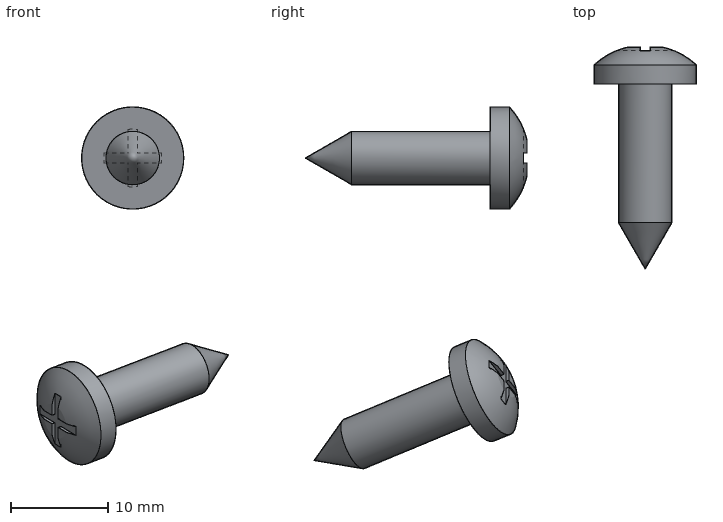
import cadquery as cq
import math

total_length = 22.8
head_diameter = 10.5
head_height = 3.8
dome_height = 1.82
crown_radius = 1.87
shank_diameter = 5.5
point_angle = 60.0
slot_width = 1.0
slot_depth = 0.36

head_radius = head_diameter / 2
shank_radius = shank_diameter / 2
point_length = shank_radius / math.tan(math.radians(point_angle / 2))

head_underside = total_length - head_height
dome_base = total_length - dome_height

dome_center = (
    (head_radius**2 + dome_base**2 - crown_radius**2 - total_length**2)
    / (2 * (dome_base - total_length))
)
dome_radius = math.hypot(crown_radius, total_length - dome_center)
arc_mid_x = (head_radius + crown_radius) / 2
arc_mid_y = dome_center + math.sqrt(dome_radius**2 - arc_mid_x**2)


def screw_body():
    """Revolve the half profile of point, shank and domed head about Y."""
    return (
        cq.Workplane("XY")
        .moveTo(0, 0)
        .lineTo(shank_radius, point_length)
        .lineTo(shank_radius, head_underside)
        .lineTo(head_radius, head_underside)
        .lineTo(head_radius, dome_base)
        .threePointArc((arc_mid_x, arc_mid_y), (crown_radius, total_length))
        .lineTo(0, total_length)
        .close()
        .revolve(360, (0, 0, 0), (0, 1, 0))
    )


def cross_slots():
    """Two perpendicular slots running right across the dome."""
    slot_along_x = cq.Workplane("XY").box(head_diameter, 2 * slot_depth, slot_width)
    slot_along_z = cq.Workplane("XY").box(slot_width, 2 * slot_depth, head_diameter)
    return slot_along_x.union(slot_along_z).translate((0, total_length, 0))


result = screw_body().cut(cross_slots())